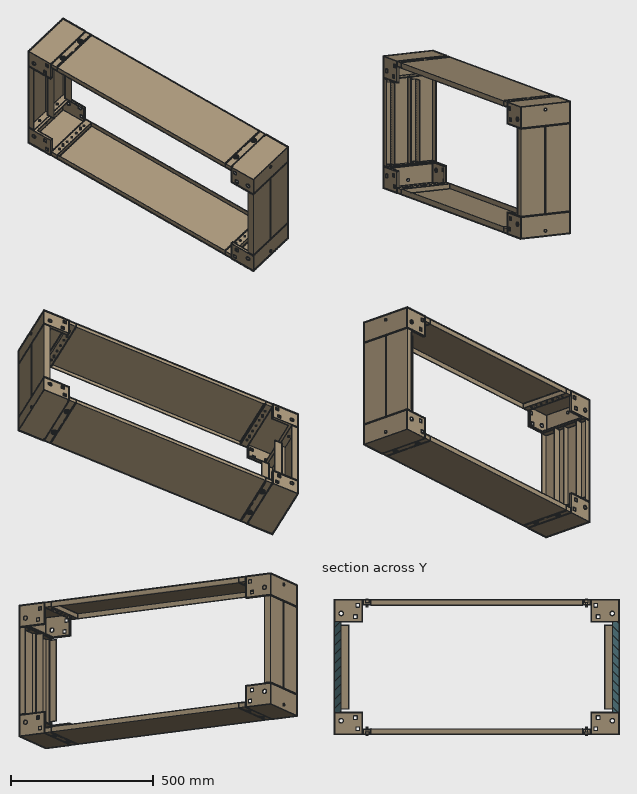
import cadquery as cq
FRAME_LENGTH = 1000.0
FRAME_DEPTH = 200.0
FRAME_HEIGHT = 474.0
SHEET = 2.5
BEND_RADIUS = 3.0

CORNER_LENGTH = 100.0
CORNER_HEIGHT = 79.0
SIDE_LIP = 10.0
END_LIP = 34.0
SEAM_GAP = 1.0
SQUARE_HOLE = 12.0
SQUARE_HOLES = [(83.0, 21.0), (75.0, 60.0)]
ROUND_HOLE_DIAMETER = 15.0
ROUND_HOLE = (25.0, 49.0)
END_HOLE_DIAMETER = 10.0
END_HOLE_HEIGHT = 20.0

RAIL_LENGTH = FRAME_LENGTH - 2 * CORNER_LENGTH
RAIL_HEIGHT = 21.0
RAIL_END_WIDTH = 29.0
SLOT_WIDTH = 3.0
SLOT_OFFSET = 24.0
SLOT_BRIDGE = 15.0
SLOT_END_MARGIN = 5.0
STRIP_HOLE_DIAMETER = 6.0
STRIP_HOLES_Y = [-70.0, -26.0, 0.0, 26.0, 70.0]
SCREW_DIAMETER = 7.0
SCREW_OFFSET = 16.0
SCREW_SPACING = 100.0
SCREW_OUTER_STANDOUT = 2.0
SCREW_INNER_STANDOUT = 6.0
SCREW_HEAD_DIAMETER = 13.0
SCREW_HEAD_HEIGHT = 10.0
SCREW_CLEARANCE_DIAMETER = 19.0

PANEL_WIDTH = FRAME_DEPTH / 2
PANEL_HEIGHT = FRAME_HEIGHT - 2 * CORNER_HEIGHT
PANEL_BEND_RADIUS = 1.5
PANEL_DEPTH = 25.0
STEP_WIDTH = 20.0
STEP_DEPTH = 52.0
STEP_END_INSET = 11.0
PANEL_HOLE_DIAMETER = 8.0


def block(x_range, y_range, z_range):
    """Box between the given pairs of coordinates."""
    (x0, x1), (y0, y1), (z0, z1) = x_range, y_range, z_range
    return cq.Workplane("XY").box(x1 - x0, y1 - y0, z1 - z0, centered=False).translate((x0, y0, z0))


def make_corner():
    """Bottom bracket of the -X end: floor, end wall and side walls, with lips folded inwards."""
    half_depth = FRAME_DEPTH / 2
    inner_half = half_depth - SHEET
    corner = block((0, CORNER_LENGTH), (-half_depth, half_depth), (0, CORNER_HEIGHT))
    corner = corner.edges("|Y and <X and >Z").fillet(BEND_RADIUS)
    cavity = block(
        (SHEET, CORNER_LENGTH - SHEET), (-inner_half, inner_half), (SHEET, CORNER_HEIGHT - SHEET)
    )
    opening_half = half_depth - SIDE_LIP
    opening = block((END_LIP, CORNER_LENGTH), (-opening_half, opening_half), (SHEET, CORNER_HEIGHT))
    corner = corner.cut(cavity).cut(opening)

    seam_z = (SHEET, CORNER_HEIGHT - SHEET)
    for seam_y in ((-inner_half, SEAM_GAP - inner_half), (inner_half - SEAM_GAP, inner_half)):
        corner = corner.cut(block((0, SHEET), seam_y, seam_z))

    side_holes = (
        cq.Workplane("XZ")
        .pushPoints(SQUARE_HOLES)
        .rect(SQUARE_HOLE, SQUARE_HOLE)
        .extrude(half_depth, both=True)
    )
    round_holes = (
        cq.Workplane("XZ")
        .center(*ROUND_HOLE)
        .circle(ROUND_HOLE_DIAMETER / 2)
        .extrude(half_depth, both=True)
    )
    end_hole = (
        cq.Workplane("YZ").center(0, END_HOLE_HEIGHT).circle(END_HOLE_DIAMETER / 2).extrude(SHEET)
    )
    corner = corner.cut(side_holes).cut(round_holes).cut(end_hole)
    return corner.translate((-FRAME_LENGTH / 2, 0, -FRAME_HEIGHT / 2))


def make_rail():
    """Bottom rail: a tray whose ends are folded into closed boxes, with two screws in each."""
    half_length = RAIL_LENGTH / 2
    half_depth = FRAME_DEPTH / 2
    box_inner_x = half_length - RAIL_END_WIDTH
    inner_half = half_depth - SHEET

    rail = block((-half_length, half_length), (-half_depth, half_depth), (0, RAIL_HEIGHT))
    rail = rail.edges("<X or >X").edges("|Y").fillet(BEND_RADIUS)
    rail = rail.edges("|X and <Z").fillet(BEND_RADIUS)
    rail = rail.cut(block((-box_inner_x, box_inner_x), (-inner_half, inner_half), (SHEET, RAIL_HEIGHT)))

    for end in (-1, 1):
        box_centre_x = end * (half_length - RAIL_END_WIDTH / 2)
        slot_x = end * (half_length - SLOT_OFFSET - SLOT_WIDTH / 2)
        screw_x = end * (half_length - SCREW_OFFSET)
        screw_points = [(screw_x, side * SCREW_SPACING / 2) for side in (-1, 1)]
        cavity = cq.Workplane("XY").box(
            RAIL_END_WIDTH - 2 * SHEET, 2 * inner_half, RAIL_HEIGHT - 2 * SHEET, centered=(True, True, False)
        )
        rail = rail.cut(cavity.translate((box_centre_x, 0, SHEET)))

        slot_length = half_depth - SLOT_END_MARGIN - SLOT_BRIDGE / 2
        slot_centre_y = (slot_length + SLOT_BRIDGE) / 2
        slots = (
            cq.Workplane("XY")
            .pushPoints([(slot_x, side * slot_centre_y) for side in (-1, 1)])
            .rect(SLOT_WIDTH, slot_length)
            .extrude(SHEET)
        )
        clearances = (
            cq.Workplane("XY")
            .pushPoints(screw_points)
            .circle(SCREW_CLEARANCE_DIAMETER / 2)
            .extrude(SHEET)
        )
        strip_holes = (
            cq.Workplane("XY")
            .workplane(offset=RAIL_HEIGHT - SHEET)
            .pushPoints([(screw_x, y) for y in STRIP_HOLES_Y])
            .circle(STRIP_HOLE_DIAMETER / 2)
            .extrude(SHEET)
        )
        screws = (
            cq.Workplane("XY")
            .workplane(offset=-SCREW_OUTER_STANDOUT)
            .pushPoints(screw_points)
            .circle(SCREW_DIAMETER / 2)
            .extrude(SCREW_OUTER_STANDOUT + RAIL_HEIGHT + SCREW_INNER_STANDOUT)
        )
        heads = (
            cq.Workplane("XY")
            .pushPoints(screw_points)
            .circle(SCREW_HEAD_DIAMETER / 2)
            .extrude(SCREW_HEAD_HEIGHT)
        )
        rail = rail.cut(slots).cut(clearances).cut(strip_holes).union(screws).union(heads)
    return rail.translate((0, 0, -FRAME_HEIGHT / 2))


def make_side_panel():
    """Front panel of the +X end: a shallow tray with a stepped stiffening flange on its +Y edge."""
    half_height = PANEL_HEIGHT / 2
    outer_x = FRAME_LENGTH / 2
    rim_x = outer_x - PANEL_DEPTH
    panel = block((rim_x, outer_x), (-PANEL_WIDTH, 0), (-half_height, half_height))
    panel = panel.faces(">X").edges().fillet(PANEL_BEND_RADIUS)
    panel = panel.cut(
        block(
            (rim_x, outer_x - SHEET),
            (SHEET - PANEL_WIDTH, -SHEET),
            (SHEET - half_height, half_height - SHEET),
        )
    )

    step_z = (STEP_END_INSET - half_height, half_height - STEP_END_INSET)
    panel = panel.union(block((rim_x, rim_x + SHEET), (-STEP_WIDTH, 0), step_z))
    panel = panel.union(
        block((outer_x - STEP_DEPTH, rim_x + SHEET), (-STEP_WIDTH, SHEET - STEP_WIDTH), step_z)
    )

    fixing_holes = (
        cq.Workplane("XY")
        .center(outer_x - PANEL_DEPTH / 2, -PANEL_WIDTH / 2)
        .circle(PANEL_HOLE_DIAMETER / 2)
        .extrude(half_height, both=True)
    )
    return panel.cut(fixing_holes)


bottom_rail = make_rail()
rails = [bottom_rail, bottom_rail.mirror("XY")]

left_corner = make_corner()
corners = []
for corner in (left_corner, left_corner.mirror("YZ")):
    corners += [corner, corner.mirror("XY")]

right_panel = make_side_panel()
side_panels = []
for y_shift in (0, PANEL_WIDTH):
    panel = right_panel.translate((0, y_shift, 0))
    side_panels += [panel, panel.mirror("YZ")]

result = cq.Compound.makeCompound([body.val() for body in rails + corners + side_panels])